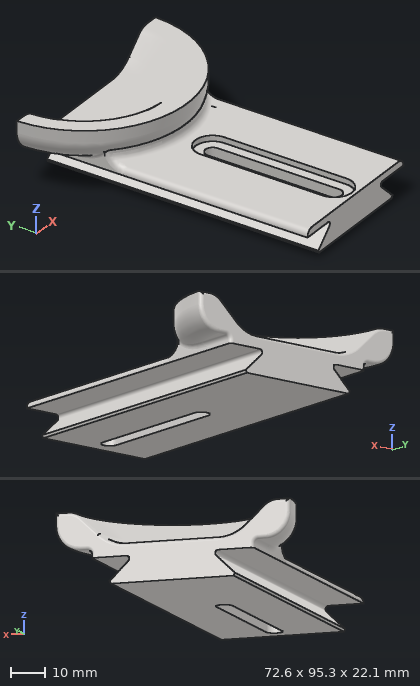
import cadquery as cq
import math

plate_length = 95.25
plate_width = 50.3
plate_top = 10.6
plate_bottom = 8.0
plate_edge_radius = 2.5
foot_width = 38.9
foot_edge_height = 0.9
foot_edge_inset = 0.4
notch_start = 28.6
notch_radius = 1.0
back_y = plate_length / 2

cradle_radius = 36.3
cradle_top = 22.1
cradle_bottom = plate_top
underside_radius = 7.5
back_edge_round = 1.1

floor_radius = 14.1
cone_inner_radius = 22.6
cone_outer_radius = 28.2
lip_radius = 32.3
cone_angle = math.radians(43)

neck_radius = 35.5
neck_top = 14.7
neck_fillet = 3.0
side_fillet = 1.4
flank_front_y = 23.5

slot_y = -18.9
slot_length = 47.8
slot_width = 5.05
recess_margin = 3.5
recess_depth = 2.0


def make_plate():
    """Dovetail section extruded along Y, with square upper edges."""
    half_foot = foot_width / 2
    half_notch = notch_start / 2
    half_plate = plate_width / 2
    notch_center_z = plate_bottom - notch_radius
    diagonal = notch_radius * math.sqrt(0.5)
    section = (
        cq.Workplane("XZ", origin=(0, back_y, 0))
        .moveTo(0, 0)
        .lineTo(half_foot - foot_edge_inset, 0)
        .lineTo(half_foot, foot_edge_height)
        .lineTo(half_notch - diagonal, notch_center_z - diagonal)
        .threePointArc((half_notch - notch_radius, notch_center_z), (half_notch, plate_bottom))
        .lineTo(half_plate, plate_bottom)
        .lineTo(half_plate, plate_top)
        .lineTo(0, plate_top)
        .close()
    )
    half = section.extrude(plate_length)
    return half.union(half.mirror("YZ"))


def behind_back_face():
    """Block used to remove everything beyond the back face."""
    size = 4 * cradle_radius
    return cq.Workplane("XY").box(size, size, size).translate((0, back_y + size / 2, 0))


def make_neck():
    """Disc below the cradle, trimmed to the plate width."""
    height = neck_top - plate_bottom
    disc = cq.Workplane("XY", origin=(0, back_y, plate_bottom)).circle(neck_radius).extrude(height)
    strip = cq.Workplane("XY").box(plate_width, 2 * plate_length, 2 * cradle_top)
    return disc.intersect(strip).cut(behind_back_face())


def make_cradle():
    """Solid half disc with a rounded underside."""
    arc_center_r = cradle_radius - underside_radius
    arc_center_z = cradle_bottom + underside_radius
    diagonal = underside_radius * math.sqrt(0.5)
    profile = (
        cq.Workplane("XZ", origin=(0, back_y, 0))
        .moveTo(0, cradle_bottom)
        .lineTo(arc_center_r, cradle_bottom)
        .threePointArc(
            (arc_center_r + diagonal, arc_center_z - diagonal), (cradle_radius, arc_center_z)
        )
        .lineTo(cradle_radius, cradle_top)
        .lineTo(0, cradle_top)
        .close()
    )
    return profile.revolve(360, (0, 0, 0), (0, 1, 0)).cut(behind_back_face())


def make_cavity():
    """Revolved bowl; both arcs are tangent to the cone and to the flats."""
    rise_ratio = math.tan(cone_angle / 2)
    lip_z = cradle_top - (lip_radius - cone_outer_radius) * rise_ratio
    cone_z = lip_z - (cone_outer_radius - cone_inner_radius) * math.tan(cone_angle)
    floor_z = cone_z - (cone_inner_radius - floor_radius) * rise_ratio
    profile = (
        cq.Workplane("XZ", origin=(0, back_y, 0))
        .moveTo(0, floor_z)
        .lineTo(floor_radius, floor_z)
        .tangentArcPoint((cone_inner_radius, cone_z), relative=False)
        .lineTo(cone_outer_radius, lip_z)
        .tangentArcPoint((lip_radius, cradle_top), relative=False)
        .lineTo(0, cradle_top)
        .close()
    )
    return profile.revolve(360, (0, 0, 0), (0, 1, 0))


def make_slot():
    """Through slot with a wider recess at the plate top."""
    through = (
        cq.Workplane("XY", origin=(0, slot_y, 0)).slot2D(slot_length, slot_width, 90).extrude(plate_top)
    )
    recess = (
        cq.Workplane("XY", origin=(0, slot_y, plate_top))
        .slot2D(slot_length + 2 * recess_margin, slot_width + 2 * recess_margin, 90)
        .extrude(-recess_depth)
    )
    return through.union(recess)


def edges_near(body, points):
    """Edges of the body passing closest to the given points."""
    edges = body.edges().vals()
    picked = [min(edges, key=lambda e: e.distance(cq.Vertex.makeVertex(*p))) for p in points]
    return body.newObject(picked)


def make_base():
    """Plate and neck, with the neck foot and the upper plate edges rounded."""
    base = make_plate().union(make_neck())
    base = edges_near(base, [(0, back_y - neck_radius, plate_top)]).fillet(neck_fillet)
    front_corners = [(side * plate_width / 2, -back_y / 2, plate_top) for side in (-1, 1)]
    return edges_near(base, front_corners).fillet(plate_edge_radius)


def make_flanks(cradle):
    """Cradle on a full-width block, filleted where the plate sides meet the underside.

    The block reaches forward past the cradle so that the fillets run through,
    then everything in front of the flanks is trimmed off.
    """
    block = (
        cq.Workplane("XY", origin=(0, 0, plate_bottom))
        .rect(plate_width, plate_length)
        .extrude(neck_top - plate_bottom)
    )
    side_points = [(side * plate_width / 2, back_y - side_fillet, cradle_bottom) for side in (-1, 1)]
    joined = edges_near(block.union(cradle), side_points).fillet(side_fillet)
    depth = back_y - flank_front_y
    keep = cq.Workplane("XY").box(2 * plate_length, depth, 2 * plate_length)
    return joined.intersect(keep.translate((0, back_y - depth / 2, 0)))


def round_back_outline(body):
    """Round the back face edges of the cradle, its cavity and the side fillets."""
    lowest = cradle_bottom - side_fillet
    outline = cq.selectors.BoxSelector(
        (-plate_length, back_y - 1, lowest), (plate_length, back_y + 1, plate_length)
    )
    return body.faces(">Y").edges(outline).fillet(back_edge_round)


cradle = make_cradle()
body = make_flanks(cradle).union(make_base()).union(cradle).cut(make_cavity())
result = round_back_outline(body).cut(make_slot())